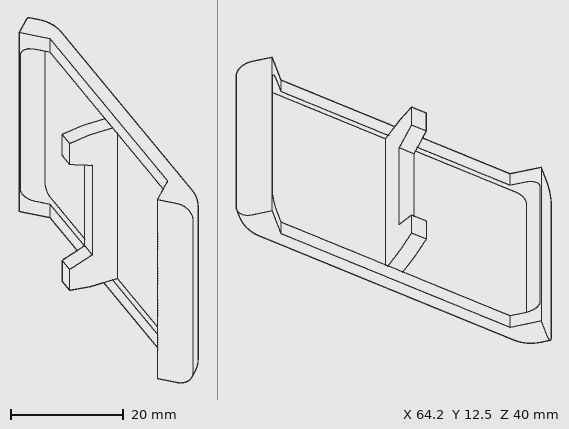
import cadquery as cq
import math

length = 64.2
height = 40.0
depth = 12.5
plate_thickness = 4.0
wing_thickness = 6.7
wing_drop = 3.35
bend_radius = 7.0
edge_radius = 3.0

rim_width = 3.0
pocket_floor = 3.0
pocket_end_inset = 4.9
pocket_corner_radius = 2.0

rib_width = 3.0
rib_level = 8.0
hook_bend = 8.5
hook_lean = 0.6
hook_tip_height = 4.7
hook_flank_rise = 1.75

half_length = length / 2
half_height = height / 2
back = depth / 2
diagonal = math.sqrt(0.5)
pocket_height = height - 2 * rim_width


def make_shell():
    """Plate with two 45 degree wings, extruded along Z and rounded on its outer edges."""
    bend_rise = bend_radius * (1 - diagonal)
    bend_end_x = half_length - (wing_drop - bend_rise)
    bend_start_x = bend_end_x - bend_radius * diagonal
    bend_mid_x = bend_start_x + bend_radius * math.sin(math.pi / 8)
    bend_mid_y = back - bend_radius * (1 - math.cos(math.pi / 8))
    tip_x = half_length - wing_thickness * diagonal
    tip_y = back - wing_drop - wing_thickness * diagonal
    inner_y = back - plate_thickness
    inner_x = tip_x - (inner_y - tip_y)

    shell = (
        cq.Workplane("XY")
        .moveTo(-bend_start_x, back)
        .lineTo(bend_start_x, back)
        .threePointArc((bend_mid_x, bend_mid_y), (bend_end_x, back - bend_rise))
        .lineTo(half_length, back - wing_drop)
        .lineTo(tip_x, tip_y)
        .lineTo(inner_x, inner_y)
        .lineTo(-inner_x, inner_y)
        .lineTo(-tip_x, tip_y)
        .lineTo(-half_length, back - wing_drop)
        .lineTo(-bend_end_x, back - bend_rise)
        .threePointArc((-bend_mid_x, bend_mid_y), (-bend_start_x, back))
        .close()
        .extrude(half_height, both=True)
    )
    outer_edges = shell.faces(">Y").edges("|X")
    return outer_edges.fillet(edge_radius)


def make_pocket():
    """Rounded rectangular cutter, open on the hook side."""
    pocket_depth = depth - pocket_floor
    return (
        cq.Workplane("XY")
        .box(length - 2 * pocket_end_inset, pocket_depth, pocket_height)
        .edges("|Y")
        .fillet(pocket_corner_radius)
        .translate((0, -pocket_floor / 2, 0))
    )


def make_rib():
    """Rib over the full pocket height with a tapered hook at each end."""
    outer_z = pocket_height / 2
    tip_outer_z = outer_z - hook_lean
    tip_inner_z = tip_outer_z - hook_tip_height
    root_z = tip_inner_z - hook_flank_rise
    upper = [
        (back - hook_bend, outer_z),
        (-back, tip_outer_z),
        (-back, tip_inner_z),
        (back - rib_level, root_z),
    ]
    lower = [(y, -z) for y, z in reversed(upper)]
    floor_y = back - pocket_floor
    outline = [(floor_y, outer_z)] + upper + lower + [(floor_y, -outer_z)]
    return cq.Workplane("YZ").polyline(outline).close().extrude(rib_width / 2, both=True)


result = make_shell().cut(make_pocket()).union(make_rib())